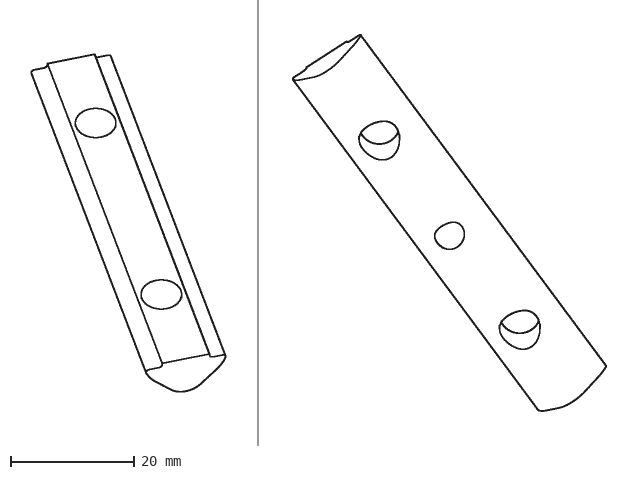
import cadquery as cq
import math

rail_length = 70.0
rail_width = 13.45
half_width = rail_width / 2

land_half_width = 4.0
flange_depth = 0.85
land_fillet = 0.55

corner_width = 0.5
corner_height = 0.6

slope_start_depth = 4.0
slope_offset = 9.1
nose_radius = 3.5

hole_diameter = 6.6
hole_spacing = 40.05

ball_radius = 2.45
overall_height = 9.0
ball_center_z = -overall_height + ball_radius


def half_profile():
    """Closed outline of the +Y half of the rail section, in the YZ plane."""
    diagonal = math.sqrt(0.5)
    corner_end = (half_width, -flange_depth - corner_height)
    slope_start = (slope_offset - slope_start_depth, -slope_start_depth)
    nose_y = nose_radius * diagonal
    nose_start = (nose_y, nose_y - slope_offset)
    nose_bottom = nose_start[1] - nose_radius * (1 - diagonal)
    fillet_middle = (
        land_half_width + land_fillet * (1 - diagonal),
        -flange_depth + land_fillet * (1 - diagonal),
    )
    corner_middle = (
        half_width - corner_width * (1 - diagonal),
        -flange_depth - corner_height * (1 - diagonal),
    )
    nose_angle = math.radians(22.5)
    nose_middle = (
        nose_radius * math.sin(nose_angle),
        nose_bottom + nose_radius * (1 - math.cos(nose_angle)),
    )

    rise_y = corner_end[0] - slope_start[0]
    rise_z = corner_end[1] - slope_start[1]
    center_shift = (rise_y**2 + rise_z**2) / (2 * (rise_z - rise_y))
    flank_center = (slope_start[0] - center_shift, slope_start[1] + center_shift)
    flank_radius = center_shift / diagonal
    end_angle = math.atan2(corner_end[1] - flank_center[1], corner_end[0] - flank_center[0])
    middle_angle = (end_angle - math.pi / 4) / 2
    flank_middle = (
        flank_center[0] + flank_radius * math.cos(middle_angle),
        flank_center[1] + flank_radius * math.sin(middle_angle),
    )

    return (
        cq.Workplane("YZ", origin=(-rail_length / 2, 0, 0))
        .lineTo(land_half_width, 0)
        .lineTo(land_half_width, -flange_depth + land_fillet)
        .threePointArc(fillet_middle, (land_half_width + land_fillet, -flange_depth))
        .lineTo(half_width - corner_width, -flange_depth)
        .threePointArc(corner_middle, corner_end)
        .threePointArc(flank_middle, slope_start)
        .lineTo(*nose_start)
        .threePointArc(nose_middle, (0, nose_bottom))
        .close()
    )


def make_ball():
    return cq.Workplane("XY", origin=(0, 0, ball_center_z)).sphere(ball_radius)


def make_rail():
    half = half_profile().extrude(rail_length)
    body = half.union(half.mirror("XZ")).clean()
    holes = (
        cq.Workplane("XY")
        .pushPoints([(-hole_spacing / 2, 0), (hole_spacing / 2, 0)])
        .circle(hole_diameter / 2)
        .extrude(-overall_height)
    )
    return body.cut(holes).cut(make_ball()).solids()


rail = make_rail()
ball = make_ball()

result = cq.Compound.makeCompound([rail.val(), ball.val()])